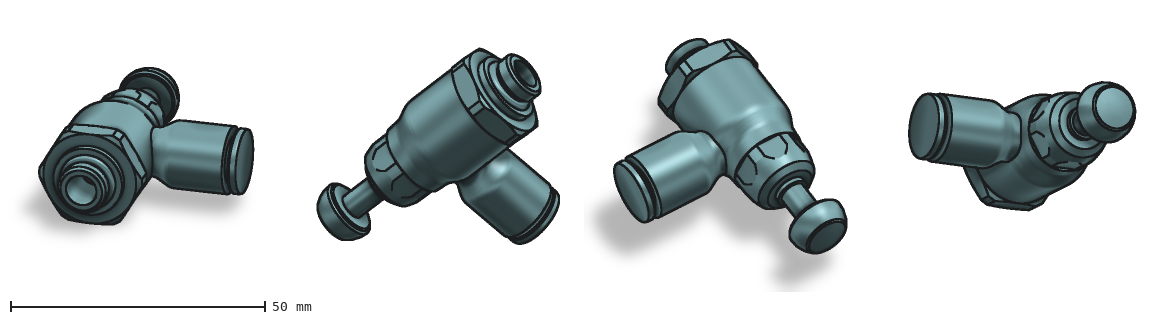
import cadquery as cq
import math


knob_top_y = 29.94
knob_rim_y = 29.65
knob_rim_radius = 4.2
knob_shoulder_y = 29.35
knob_shoulder_radius = 4.65
knob_side_bulge = 0.4
knob_widest_y = 25.25
knob_radius = 6.0
knob_round_end_y = 24.76
knob_round_end_radius = 5.5
knob_round = 0.6
knob_bottom_y = 24.45
knob_bottom_radius = 5.15
stem_radius = 2.6
collar_radius = 3.3
collar_top_y = 16.9

cap_top_y = 15.8
cap_top_radius = 5.1
cap_chamfer_y = 14.6
cap_chamfer_radius = 6.52
cap_round_y = 10.65
cap_radius = 7.55
cap_bottom_y = 7.65
cap_across_flats = 14.16
cap_side_bulge = 0.06

ring_top_radius = 7.67
ring_bottom_y = 5.1
ring_bottom_radius = 7.88
shoulder_cone_top_y = 4.0
shoulder_cone_top_radius = 8.15
shoulder_cone_bottom_y = 1.93
shoulder_cone_bottom_radius = 9.1
body_radius = 9.5

nut_top_y = -12.2
nut_bottom_y = -16.63
nut_across_flats = 2 * body_radius
nut_corner_radius = 10.52
nut_chamfer_angle = math.radians(30)

washer_radius = 7.03
washer_bottom_y = -18.17
seal_radius = 5.7
seal_bottom_y = -19.08
seal_round = washer_bottom_y - seal_bottom_y
thread_neck_radius = 4.25
thread_neck_bottom_y = -19.58
thread_radius = 4.88
thread_top_y = -20.02
thread_chamfer_y = -22.25
overall_length = 52.69
thread_bottom_y = knob_top_y - overall_length
thread_bottom_radius = 4.25
bore_radius = 3.12

branch_neck_radius = 4.92
branch_neck_end_x = 8.75
branch_cone_start_x = 9.99
branch_cone_end_x = 12.08
branch_socket_x = 13.35
branch_radius = 6.75
branch_cone_angle = math.radians(30)
socket_end_x = 24.15
groove_radius = 4.6
release_start_x = 25.2
overall_width = 37.4
release_end_x = overall_width - nut_corner_radius
release_radius = 6.5
release_back_chamfer_length = 0.35
release_front_chamfer_length = 0.38
release_back_chamfer_depth = 0.2
release_front_chamfer_depth = 0.1


def revolve_about_y(profile):
    return profile.close().revolve(360, (0, 0, 0), (0, 1, 0))


def hex_prism(across_flats, bottom_y, top_y):
    """Hexagonal prism along Y with two corners on the X axis."""
    corner_diameter = across_flats / math.cos(math.pi / 6)
    return (
        cq.Workplane("XZ", origin=(0, top_y, 0))
        .polygon(6, corner_diameter)
        .extrude(top_y - bottom_y)
    )


def make_knob():
    side_middle = (
        (knob_shoulder_radius + knob_radius) / 2 + knob_side_bulge,
        (knob_shoulder_y + knob_widest_y) / 2,
    )
    profile = (
        cq.Workplane("XY")
        .moveTo(0, knob_bottom_y)
        .lineTo(knob_bottom_radius, knob_bottom_y)
        .lineTo(knob_round_end_radius, knob_round_end_y)
        .radiusArc((knob_radius, knob_widest_y), -knob_round)
        .threePointArc(side_middle, (knob_shoulder_radius, knob_shoulder_y))
        .lineTo(knob_rim_radius, knob_rim_y)
    )
    dome_rise = knob_top_y - knob_rim_y
    dome_radius = (knob_rim_radius**2 + dome_rise**2) / (2 * dome_rise)
    profile = profile.radiusArc((0, knob_top_y), -dome_radius).lineTo(0, knob_bottom_y)
    return revolve_about_y(profile)


def make_stem():
    profile = (
        cq.Workplane("XY")
        .moveTo(0, cap_bottom_y)
        .lineTo(collar_radius, cap_bottom_y)
        .lineTo(collar_radius, collar_top_y)
        .lineTo(stem_radius, collar_top_y)
        .lineTo(stem_radius, knob_widest_y)
        .lineTo(0, knob_widest_y)
    )
    return revolve_about_y(profile)


def make_cap():
    side_middle = (
        (cap_chamfer_radius + cap_radius) / 2 + cap_side_bulge,
        (cap_chamfer_y + cap_round_y) / 2,
    )
    profile = (
        cq.Workplane("XY")
        .moveTo(0, cap_bottom_y)
        .lineTo(cap_radius, cap_bottom_y)
        .lineTo(cap_radius, cap_round_y)
        .threePointArc(side_middle, (cap_chamfer_radius, cap_chamfer_y))
        .lineTo(cap_top_radius, cap_top_y)
        .lineTo(0, cap_top_y)
    )
    return revolve_about_y(profile).intersect(hex_prism(cap_across_flats, cap_bottom_y, cap_top_y))


def make_body():
    profile = (
        cq.Workplane("XY")
        .moveTo(0, cap_bottom_y)
        .lineTo(ring_top_radius, cap_bottom_y)
        .lineTo(ring_bottom_radius, ring_bottom_y)
        .tangentArcPoint((shoulder_cone_top_radius, shoulder_cone_top_y), relative=False)
        .lineTo(shoulder_cone_bottom_radius, shoulder_cone_bottom_y)
        .tangentArcPoint((body_radius, 0), relative=False)
        .lineTo(body_radius, nut_top_y)
        .lineTo(0, nut_top_y)
    )
    return revolve_about_y(profile)


def make_nut():
    face_radius = nut_across_flats / 2
    chamfer_height = (nut_corner_radius - face_radius) * math.tan(nut_chamfer_angle)
    profile = (
        cq.Workplane("XY")
        .moveTo(0, nut_bottom_y)
        .lineTo(face_radius, nut_bottom_y)
        .lineTo(nut_corner_radius, nut_bottom_y + chamfer_height)
        .lineTo(nut_corner_radius, nut_top_y - chamfer_height)
        .lineTo(face_radius, nut_top_y)
        .lineTo(0, nut_top_y)
    )
    return revolve_about_y(profile).intersect(hex_prism(nut_across_flats, nut_bottom_y, nut_top_y))


def make_threaded_end():
    profile = (
        cq.Workplane("XY")
        .moveTo(0, nut_bottom_y)
        .lineTo(washer_radius, nut_bottom_y)
        .lineTo(washer_radius, washer_bottom_y)
        .lineTo(seal_radius, washer_bottom_y)
        .radiusArc((seal_radius - seal_round, seal_bottom_y), seal_round)
        .lineTo(thread_neck_radius, seal_bottom_y)
        .lineTo(thread_neck_radius, thread_neck_bottom_y)
        .lineTo(thread_radius, thread_top_y)
        .lineTo(thread_radius, thread_chamfer_y)
        .lineTo(thread_bottom_radius, thread_bottom_y)
        .lineTo(0, thread_bottom_y)
    )
    return revolve_about_y(profile)


def make_branch():
    half_angle_slope = math.tan(branch_cone_angle / 2)
    cone_start_radius = branch_neck_radius + (branch_cone_start_x - branch_neck_end_x) * half_angle_slope
    cone_end_radius = branch_radius - (branch_socket_x - branch_cone_end_x) * half_angle_slope
    profile = (
        cq.Workplane("XY")
        .lineTo(0, branch_neck_radius)
        .lineTo(branch_neck_end_x, branch_neck_radius)
        .tangentArcPoint((branch_cone_start_x, cone_start_radius), relative=False)
        .lineTo(branch_cone_end_x, cone_end_radius)
        .tangentArcPoint((branch_socket_x, branch_radius), relative=False)
        .lineTo(socket_end_x, branch_radius)
        .lineTo(socket_end_x, groove_radius)
        .lineTo(release_start_x, groove_radius)
        .lineTo(release_start_x, release_radius - release_back_chamfer_depth)
        .lineTo(release_start_x + release_back_chamfer_length, release_radius)
        .lineTo(release_end_x - release_front_chamfer_length, release_radius)
        .lineTo(release_end_x, release_radius - release_front_chamfer_depth)
        .lineTo(release_end_x, 0)
        .close()
    )
    return profile.revolve(360, (0, 0, 0), (1, 0, 0))


def make_bore():
    """Blind bore from the threaded end up to the top of the nut."""
    return (
        cq.Workplane("XZ", origin=(0, nut_top_y, 0))
        .circle(bore_radius)
        .extrude(nut_top_y - thread_bottom_y)
    )


result = (
    make_body()
    .union(make_nut())
    .union(make_threaded_end())
    .union(make_cap())
    .union(make_stem())
    .union(make_knob())
    .union(make_branch())
    .cut(make_bore())
)